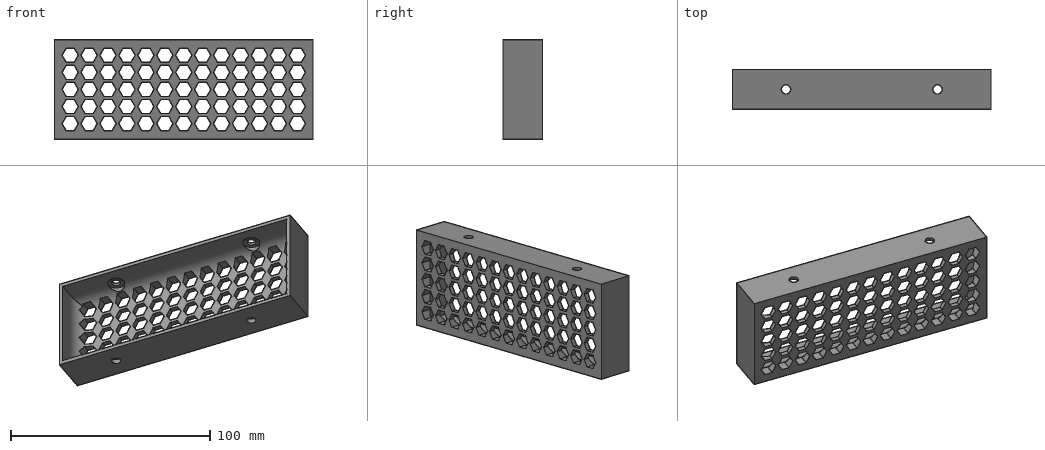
import cadquery as cq

length = 130.0
depth = 20.0
height = 50.0
front_wall = 2.5
side_wall = 2.0
inner_radius = 9.0

vent_columns = 13
vent_rows = 5
vent_across_corners = 8.0
vent_span_x = 114.0
vent_span_z = 34.3

screw_diameter = 4.5
screw_head_diameter = 8.5
screw_seat = 1.5
screw_spacing = 76.0


def shell():
    """Box hollowed from the back, its front wall blended into the side walls by a fillet."""
    outer = cq.Workplane("XY").box(length, depth, height)
    cavity = (
        cq.Workplane("XY")
        .box(length - 2 * side_wall, depth, height - 2 * side_wall)
        .translate((0, front_wall, 0))
        .faces("<Y")
        .edges()
        .fillet(inner_radius)
    )
    return outer.cut(cavity)


def vents():
    """Hexagonal prisms, corners pointing along X, that run from front to back."""
    pitch_x = vent_span_x / (vent_columns - 1)
    pitch_z = vent_span_z / (vent_rows - 1)
    return (
        cq.Workplane("XZ", origin=(0, depth / 2, 0))
        .rarray(pitch_x, pitch_z, vent_columns, vent_rows)
        .polygon(6, vent_across_corners)
        .extrude(depth)
    )


def vertical_cylinders(diameter, bottom, top):
    """Pair of upright cylinders at the screw positions, midway between front and back."""
    return (
        cq.Workplane("XY", origin=(0, 0, bottom))
        .rarray(screw_spacing, 1.3, 2, 1)
        .circle(diameter / 2)
        .extrude(top - bottom)
    )


screw_holes = vertical_cylinders(screw_diameter, -height / 2, height / 2)
head_recesses = vertical_cylinders(screw_head_diameter, 0, height / 2 - screw_seat)

result = shell().cut(vents()).cut(screw_holes).cut(head_recesses)